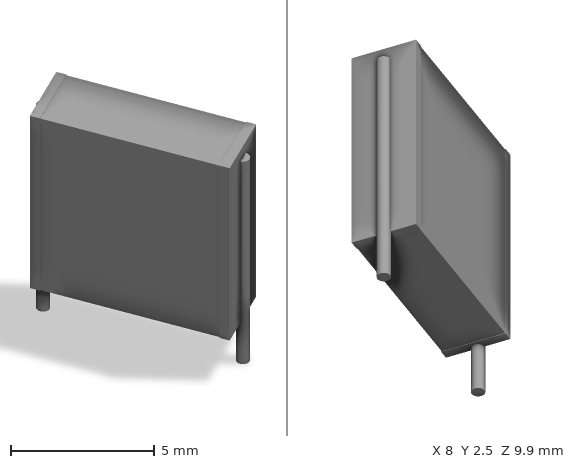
import cadquery as cq

total_length = 7.5
cap_width = 2.5
cap_height = 8.0
cap_thickness = 0.375
body_inset = 0.02

lead_diameter = 0.5
lead_protrusion = 1.9
lead_top_gap = 0.5

body_length = total_length - 2 * cap_thickness
body_width = cap_width - 2 * body_inset
body_height = cap_height - 2 * body_inset
lead_x = total_length / 2
cap_x = lead_x - cap_thickness / 2
lead_length = lead_protrusion + cap_height - lead_top_gap


def make_body():
    """Block between the caps, slightly smaller than them all round."""
    body = cq.Workplane("XY").box(body_length, body_width, body_height)
    return body.translate((0, 0, cap_height / 2))


def make_cap(side):
    """Rectangular plate on one end; its underside lies at Z = 0."""
    cap = cq.Workplane("XY").box(cap_thickness, cap_width, cap_height)
    return cap.translate((side * cap_x, 0, cap_height / 2))


def make_lead(side):
    """Round wire, half sunk into the cap and reaching below it."""
    lead = cq.Workplane("XY").circle(lead_diameter / 2).extrude(lead_length)
    return lead.translate((side * lead_x, 0, -lead_protrusion))


result = make_body()
for side in (-1, 1):
    result = result.union(make_cap(side)).union(make_lead(side))